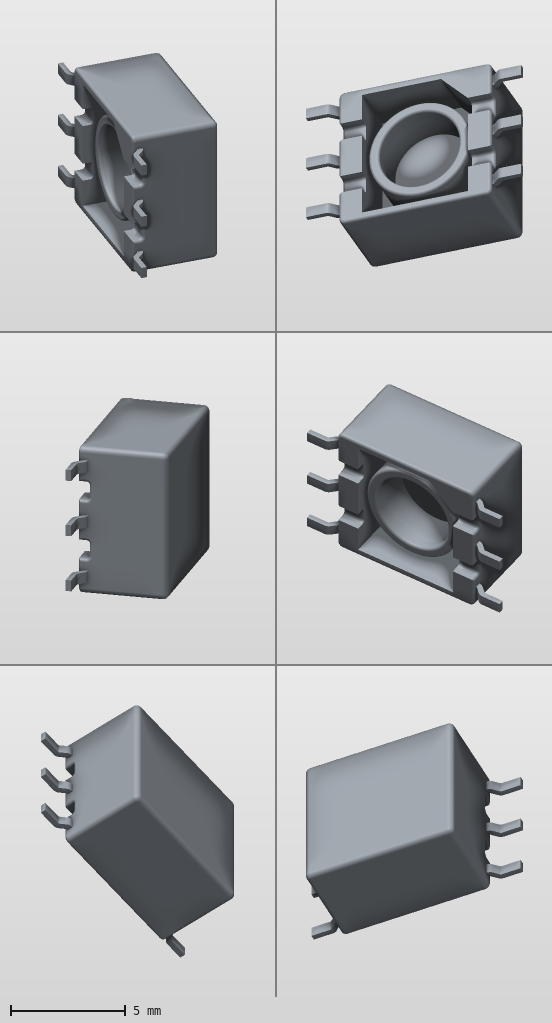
import cadquery as cq
import math

HOUSING_WIDTH = 7.1
HOUSING_DEPTH = 4.02
HOUSING_HEIGHT = 6.73
BODY_RADIUS = 0.25
FRONT_RADIUS = 0.14

POCKET_WIDTH = 4.93
POCKET_HEIGHT = 6.04
POCKET_DEPTH = 2.51
POCKET_CHAMFER = 1.25

NOTCH_SPACING = 2.7
NOTCH_WIDTH = 0.84
NOTCH_DEPTH = 0.49
NOTCH_RADIUS = 0.15

TOROID_OUTER_RADIUS = 2.36
TOROID_INNER_RADIUS = 1.87
TOROID_RECESS = 0.5
TOROID_EDGE_RADIUS = 0.13

OVERALL_WIDTH = 10.03
OVERALL_DEPTH = 4.19
LEADS_PER_SIDE = 3
LEAD_PITCH = 2.54
LEAD_WIDTH = 0.5
LEAD_THICKNESS = 0.25
LEAD_FOOT_LENGTH = 0.91
LEAD_SLOPE_LENGTH = 0.34
LEAD_BEND_RADIUS = 0.08
LEAD_BEND_ANGLE = 45.0


def front_plane(depth):
    """Plane facing the front at a distance behind the front face; local x, y run along X, Z."""
    return cq.Workplane("XZ", origin=(0, depth, 0))


def make_block():
    """Solid housing block with rounded back and corner edges and a still sharp front."""
    block = front_plane(HOUSING_DEPTH).rect(HOUSING_WIDTH, HOUSING_HEIGHT).extrude(HOUSING_DEPTH)
    return block.edges("|Y or >Y").fillet(BODY_RADIUS)


def make_notch_cutter(z):
    """Bar along X with two rounded inner edges, centred on height z."""
    cutter = cq.Workplane("XY").box(HOUSING_WIDTH, 2 * NOTCH_DEPTH, NOTCH_WIDTH)
    return cutter.edges("|X and >Y").fillet(NOTCH_RADIUS).translate((0, 0, z))


def make_pocket_cutter():
    """Rectangular pocket with its upper +X corner chamfered."""
    right = POCKET_WIDTH / 2
    top = POCKET_HEIGHT / 2
    outline = [
        (-right, -top),
        (right, -top),
        (right, top - POCKET_CHAMFER),
        (right - POCKET_CHAMFER, top),
        (-right, top),
    ]
    return front_plane(POCKET_DEPTH).polyline(outline).close().extrude(POCKET_DEPTH)


def make_housing():
    housing = make_block()
    for z in (-NOTCH_SPACING / 2, NOTCH_SPACING / 2):
        housing = housing.cut(make_notch_cutter(z))
    side_walls = housing.faces("<X or >X")
    housing = side_walls.edges("not >Y").edges("not (<Z or >Z)").fillet(FRONT_RADIUS)
    return housing.cut(make_pocket_cutter())


def make_toroid():
    """Ring with both front edges rounded."""
    toroid = (
        front_plane(POCKET_DEPTH)
        .circle(TOROID_OUTER_RADIUS)
        .circle(TOROID_INNER_RADIUS)
        .extrude(POCKET_DEPTH - TOROID_RECESS)
    )
    return toroid.faces("<Y").edges().fillet(TOROID_EDGE_RADIUS)


def bend_offset(turn):
    """X, Y offset along the lead's centre line after bending from level through an angle."""
    middle_radius = LEAD_BEND_RADIUS + LEAD_THICKNESS / 2
    return (-middle_radius * math.sin(turn), middle_radius * (1 - math.cos(turn)))


def make_lead():
    """Lead on the +X side at Z = 0: foot, two opposite bends and a level end at the housing wall."""
    angle = math.radians(LEAD_BEND_ANGLE)
    foot_start = (OVERALL_WIDTH / 2, HOUSING_DEPTH - OVERALL_DEPTH + LEAD_THICKNESS / 2)
    foot_end = (foot_start[0] - LEAD_FOOT_LENGTH, foot_start[1])
    half = bend_offset(angle / 2)
    full = bend_offset(angle)
    slope_start = (foot_end[0] + full[0], foot_end[1] + full[1])
    slope_end = (
        slope_start[0] - LEAD_SLOPE_LENGTH * math.cos(angle),
        slope_start[1] + LEAD_SLOPE_LENGTH * math.sin(angle),
    )
    level_start = (slope_end[0] + full[0], slope_end[1] + full[1])
    lower_mid = (foot_end[0] + half[0], foot_end[1] + half[1])
    upper_mid = (level_start[0] - half[0], level_start[1] - half[1])
    centre_line = (
        cq.Workplane("XY")
        .moveTo(*foot_start)
        .lineTo(*foot_end)
        .threePointArc(lower_mid, slope_start)
        .lineTo(*slope_end)
        .threePointArc(upper_mid, level_start)
        .lineTo(HOUSING_WIDTH / 2, level_start[1])
    )
    section = cq.Workplane("YZ", origin=(*foot_start, 0)).rect(LEAD_THICKNESS, LEAD_WIDTH)
    return section.sweep(centre_line)


def make_leads():
    right_lead = make_lead()
    left_lead = right_lead.mirror("YZ")
    leads = []
    for index in range(LEADS_PER_SIDE):
        z = (index - (LEADS_PER_SIDE - 1) / 2) * LEAD_PITCH
        for lead in (left_lead, right_lead):
            leads.append(lead.translate((0, 0, z)).val())
    return leads


housing = make_housing()
toroid = make_toroid()
leads = make_leads()
result = cq.Compound.makeCompound([housing.val(), toroid.val(), *leads])